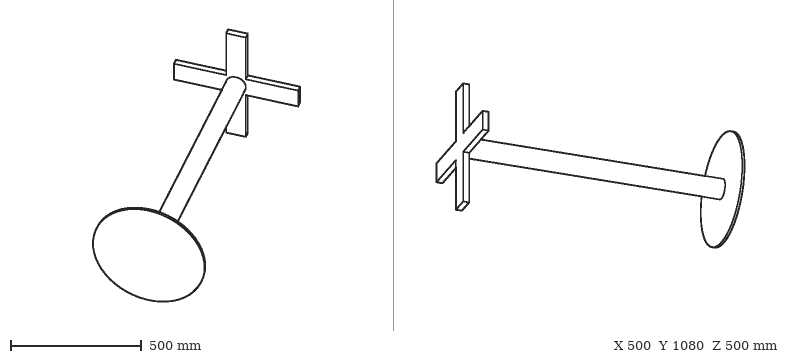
import cadquery as cq

total_length = 1080.0
cross_span = 500.0
arm_width = 80.0
arm_thickness = 25.0
disc_diameter = 450.0
disc_thickness = 10.0
column_diameter = 80.0

column_start = disc_thickness
cross_start = total_length - arm_thickness
column_length = cross_start - column_start


def cylinder_along_y(diameter, start, length):
    """Solid cylinder on the Y axis from y = start to y = start + length."""
    plane = cq.Plane(origin=(0, start, 0), xDir=(1, 0, 0), normal=(0, 1, 0))
    return cq.Workplane(plane).circle(diameter / 2).extrude(length)


def cross_bar(size_x, size_z):
    """Flat bar of the cross, centred on the column axis."""
    bar = cq.Workplane("XY").box(size_x, arm_thickness, size_z, centered=(True, False, True))
    return bar.translate((0, cross_start, 0))


def make_cross():
    """Two equal bars crossing at right angles."""
    horizontal_bar = cross_bar(cross_span, arm_width)
    vertical_bar = cross_bar(arm_width, cross_span)
    return horizontal_bar.union(vertical_bar)


disc = cylinder_along_y(disc_diameter, 0, disc_thickness)
column = cylinder_along_y(column_diameter, column_start, column_length)

result = disc.union(column).union(make_cross())